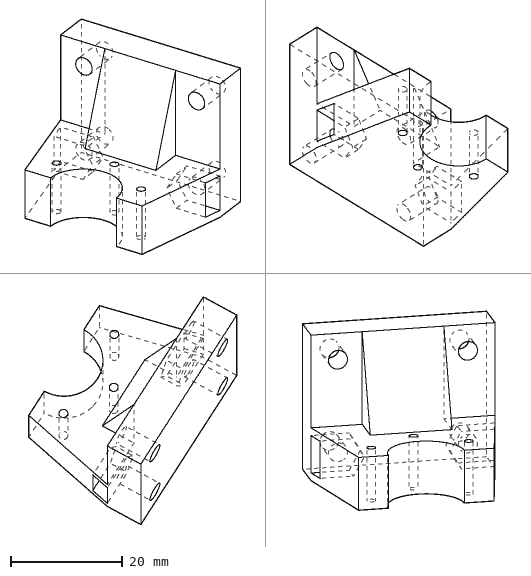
import cadquery as cq
import math

width = 34.0
depth = 26.1
height = 27.5
plate_thickness = 7.0

shelf_height = 10.0
shelf_front_width = 25.02

gusset_width = 15.1
gusset_depth = 6.63

bore_diameter = 14.0
small_hole_diameter = 1.6
small_hole_circle_radius = 10.4
small_hole_angles = (30, 90, 150)

mount_hole_diameter = 3.5
mount_spacing = 24.0
upper_hole_z = 22.5
lower_hole_z = shelf_height / 2
nut_across_flats = 7.07
nut_pocket_depth = 3.55

plate_front_y = -plate_thickness
shelf_front_y = -depth


def make_plate():
    plate = cq.Workplane("XY").box(width, plate_thickness, height, centered=(True, False, False))
    return plate.translate((0, plate_front_y, 0))


def make_shelf():
    return (
        cq.Workplane("XY")
        .moveTo(-width / 2, plate_front_y)
        .lineTo(width / 2, plate_front_y)
        .lineTo(shelf_front_width / 2, shelf_front_y)
        .lineTo(-shelf_front_width / 2, shelf_front_y)
        .close()
        .extrude(shelf_height)
    )


def make_gusset():
    return (
        cq.Workplane("YZ")
        .moveTo(plate_front_y, shelf_height)
        .lineTo(plate_front_y - gusset_depth, shelf_height)
        .lineTo(plate_front_y, height)
        .close()
        .extrude(gusset_width / 2, both=True)
    )


def make_bore():
    return cq.Workplane("XY").center(0, shelf_front_y).circle(bore_diameter / 2).extrude(shelf_height)


def make_small_holes():
    points = []
    for angle in small_hole_angles:
        x = small_hole_circle_radius * math.cos(math.radians(angle))
        y = shelf_front_y + small_hole_circle_radius * math.sin(math.radians(angle))
        points.append((x, y))
    return cq.Workplane("XY").pushPoints(points).circle(small_hole_diameter / 2).extrude(shelf_height)


def make_mount_holes():
    points = [(side * mount_spacing / 2, z) for side in (-1, 1) for z in (upper_hole_z, lower_hole_z)]
    return cq.Workplane("XZ").pushPoints(points).circle(mount_hole_diameter / 2).extrude(plate_thickness)


def make_nut_pocket(side):
    """Slot open at the shelf side, ending in half a hexagon around the lower mounting hole."""
    half_height = nut_across_flats / 2
    corner_radius = nut_across_flats / math.sqrt(3)
    hole_x = mount_spacing / 2
    flat_end_x = hole_x - corner_radius / 2
    return (
        cq.Workplane("XZ", origin=(0, plate_front_y, 0))
        .moveTo(side * width / 2, lower_hole_z - half_height)
        .lineTo(side * flat_end_x, lower_hole_z - half_height)
        .lineTo(side * (hole_x - corner_radius), lower_hole_z)
        .lineTo(side * flat_end_x, lower_hole_z + half_height)
        .lineTo(side * width / 2, lower_hole_z + half_height)
        .close()
        .extrude(nut_pocket_depth)
    )


body = make_plate().union(make_shelf()).union(make_gusset())
body = body.cut(make_bore()).cut(make_small_holes()).cut(make_mount_holes())
for pocket_side in (-1, 1):
    body = body.cut(make_nut_pocket(pocket_side))

result = body